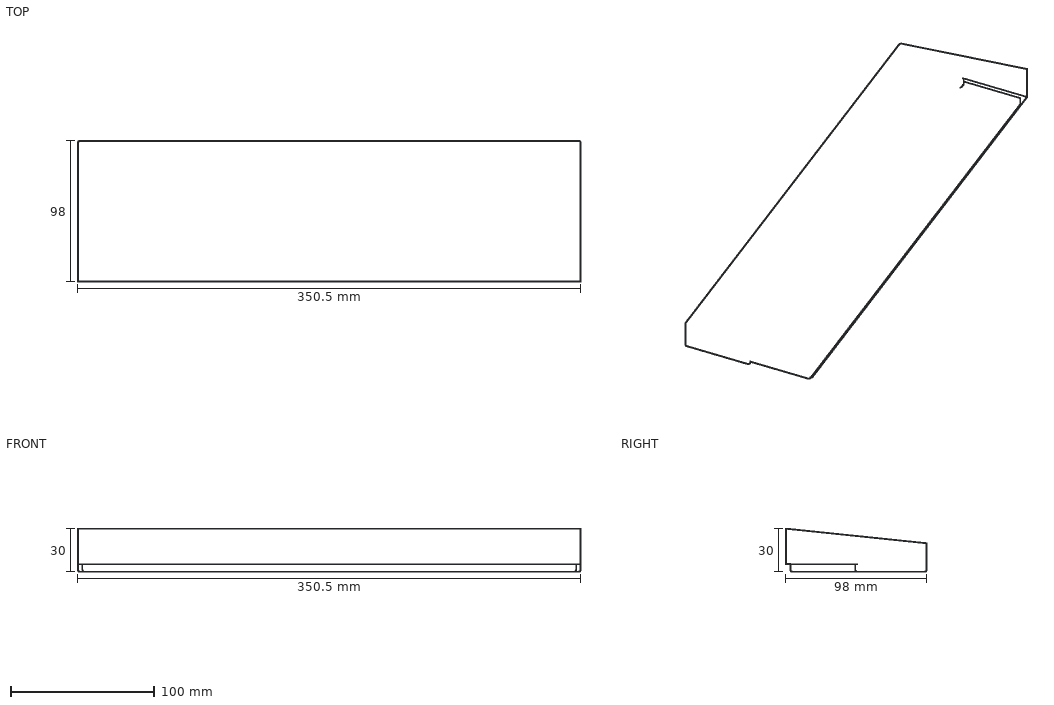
import cadquery as cq

length = 350.5
depth = 98.0
front_height = 30.0
back_height = 20.0

relief_height = 5.3
relief_inset = 3.0
relief_depth = 48.5

edge_radius = 1.5


def upper_body():
    """Solid with a top face that slopes down from front to back."""
    return (
        cq.Workplane("YZ")
        .polyline([(0, relief_height), (depth, relief_height), (depth, back_height), (0, front_height)])
        .close()
        .extrude(length)
        .edges("|Z and >Y")
        .fillet(edge_radius)
    )


def base_outline():
    """Closed plan outline of the base: full width at the back, inset at the front."""
    return (
        cq.Workplane("XY")
        .moveTo(0, depth)
        .lineTo(0, relief_depth)
        .lineTo(relief_inset, relief_depth)
        .lineTo(relief_inset, relief_inset)
        .lineTo(length - relief_inset, relief_inset)
        .lineTo(length - relief_inset, relief_depth)
        .lineTo(length, relief_depth)
        .lineTo(length, depth)
        .close()
    )


def base():
    """Shallow slab with rounded upright corners and a rounded bottom rim."""
    slab = base_outline().extrude(relief_height)
    for corner_edges in ("|Z and <Y", "|Z and (<X or >X)"):
        slab = slab.edges(corner_edges).fillet(edge_radius)
    return slab.faces("<Z").edges().fillet(edge_radius)


result = upper_body().union(base())